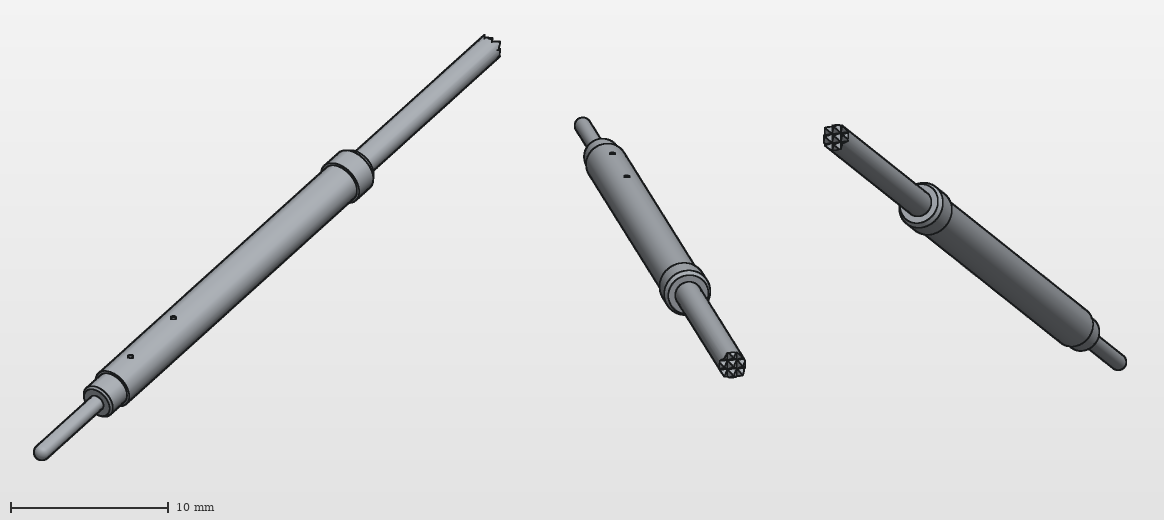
import cadquery as cq
import math

total_length = 49.8
collar_front = 14.8
collar_back = 16.7
sleeve_end = 41.6
neck_end = 43.3

plunger_diameter = 1.7
collar_diameter = 3.0
sleeve_diameter = 2.65
neck_diameter = 2.3
pin_diameter = 1.05

collar_chamfer_length = 0.35
collar_chamfer_depth = 0.2
neck_chamfer = 0.15
pin_dome_height = 0.5

groove_pitch = 0.6
groove_depth = 0.5
groove_offsets = [groove_pitch * step for step in (-1.5, -0.5, 0.5, 1.5)]

dimple_positions = (34.9, 39.6)
dimple_diameter = 0.35
dimple_depth = 0.1

tip_y = total_length / 2


def cylinder(diameter, start, end):
    """Cylinder on the Y axis between two distances from the serrated tip."""
    plane = cq.Workplane("XZ", origin=(0, tip_y - start, 0))
    return plane.circle(diameter / 2).extrude(end - start)


def make_collar():
    radius = collar_diameter / 2
    front = tip_y - collar_front
    return (
        cq.Workplane("XY")
        .moveTo(0, front)
        .lineTo(radius - collar_chamfer_depth, front)
        .lineTo(radius, front - collar_chamfer_length)
        .lineTo(radius, tip_y - collar_back)
        .lineTo(0, tip_y - collar_back)
        .close()
        .revolve(360, (0, 0, 0), (0, 1, 0))
    )


def make_groove(offset):
    """V groove running along Z across the tip, centred at X = offset."""
    half_width = groove_pitch / 2
    return (
        cq.Workplane("XY")
        .moveTo(offset - half_width, tip_y)
        .lineTo(offset, tip_y - groove_depth)
        .lineTo(offset + half_width, tip_y)
        .close()
        .extrude(plunger_diameter, both=True)
    )


def make_plunger():
    plunger = cylinder(plunger_diameter, 0, collar_back)
    for offset in groove_offsets:
        groove = make_groove(offset)
        plunger = plunger.cut(groove)
        plunger = plunger.cut(groove.rotate((0, 0, 0), (0, 1, 0), 90))
    return plunger


def make_pin():
    """Pin with a spherical cap at its free end, started inside the sleeve."""
    radius = pin_diameter / 2
    shoulder_y = pin_dome_height - tip_y
    sphere_radius = (radius**2 + pin_dome_height**2) / (2 * pin_dome_height)
    sphere_y = sphere_radius - tip_y
    middle_angle = math.asin(radius / sphere_radius) / 2
    arc_middle = (
        sphere_radius * math.sin(middle_angle),
        sphere_y - sphere_radius * math.cos(middle_angle),
    )
    return (
        cq.Workplane("XY")
        .moveTo(0, -tip_y)
        .threePointArc(arc_middle, (radius, shoulder_y))
        .lineTo(radius, tip_y - sleeve_end)
        .lineTo(0, tip_y - sleeve_end)
        .close()
        .revolve(360, (0, 0, 0), (0, 1, 0))
    )


def make_dimple(position):
    floor = sleeve_diameter / 2 - dimple_depth
    plane = cq.Workplane("XY", origin=(0, tip_y - position, floor))
    return plane.circle(dimple_diameter / 2).extrude(sleeve_diameter)


neck = cylinder(neck_diameter, collar_back, neck_end).faces("<Y").chamfer(neck_chamfer)
sleeve = cylinder(sleeve_diameter, collar_back, sleeve_end)

result = make_plunger().union(make_collar()).union(sleeve).union(neck).union(make_pin())
for position in dimple_positions:
    result = result.cut(make_dimple(position))